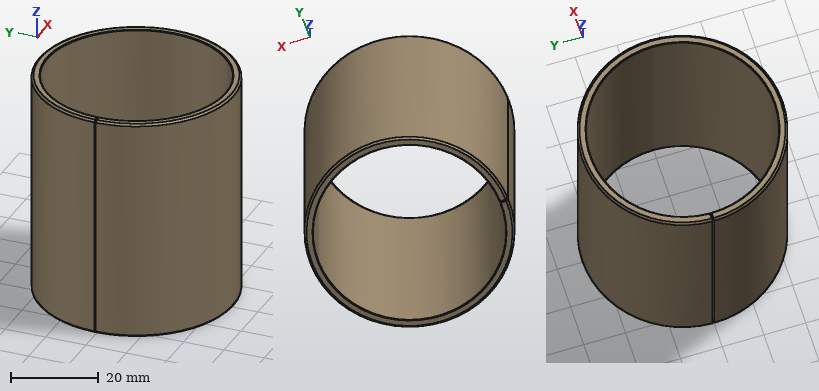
import cadquery as cq

length = 55.0
outer_diameter = 48.0
wall = 2.0
outer_chamfer = 0.5
inner_chamfer = 0.15
slit_width = 0.4

outer_radius = outer_diameter / 2
inner_radius = outer_radius - wall
half_length = length / 2

section = [
    (inner_radius, -half_length + inner_chamfer),
    (inner_radius + inner_chamfer, -half_length),
    (outer_radius - outer_chamfer, -half_length),
    (outer_radius, -half_length + outer_chamfer),
    (outer_radius, half_length - outer_chamfer),
    (outer_radius - outer_chamfer, half_length),
    (inner_radius + inner_chamfer, half_length),
    (inner_radius, half_length - inner_chamfer),
]
sleeve = cq.Workplane("XZ").polyline(section).close().revolve(360, (0, 0, 0), (0, 1, 0))

slit = cq.Workplane("XY").box(outer_radius, slit_width, length).translate((-outer_radius, slit_width / 2, 0))

result = sleeve.cut(slit)